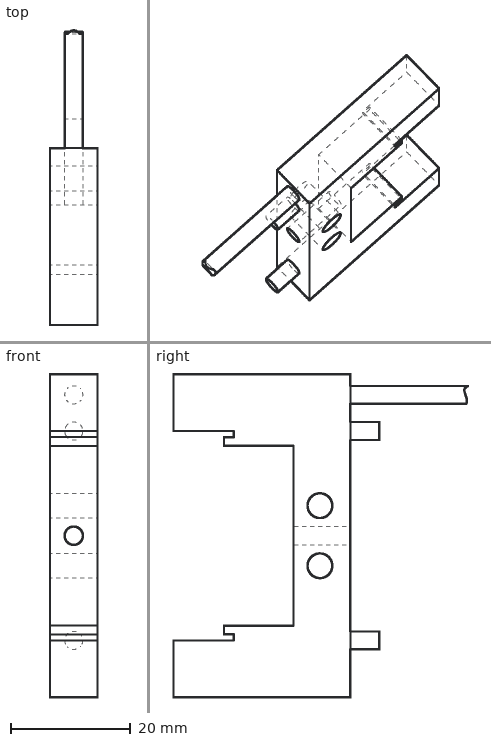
import cadquery as cq

width = 8.0
height = 54.0
depth = 29.6
web_thickness = 9.5
arm_thickness = 9.5

groove_height = 1.0
lip_thickness = 1.45
lip_setback = 8.5
groove_depth = 1.6

mount_diameter = 4.1
mount_spacing = 10.05
mount_from_rear = 5.1
web_hole_diameter = 3.0

pin_diameter = 3.0
pin_length = 4.85
pin_spacing = 35.0
cable_diameter = 3.0
cable_length = 19.7
cable_below_top = 3.45

hollow_shortfall = 0.65
bulge_shortfall = 0.2
bottom_shortfall = 0.4

front_y = -depth
lip_tip_y = front_y + lip_setback
groove_floor_y = lip_tip_y + groove_depth
arm_inner_z = height / 2 - arm_thickness
lip_outer_z = arm_inner_z - groove_height
lip_inner_z = lip_outer_z - lip_thickness


def make_body():
    """C-shaped fork, mirrored about the middle plane Z = 0."""
    upper_half = [
        (0, 0),
        (0, height / 2),
        (front_y, height / 2),
        (front_y, arm_inner_z),
        (groove_floor_y, arm_inner_z),
        (groove_floor_y, lip_outer_z),
        (lip_tip_y, lip_outer_z),
        (lip_tip_y, lip_inner_z),
        (-web_thickness, lip_inner_z),
        (-web_thickness, 0),
    ]
    upper = cq.Workplane("YZ").polyline(upper_half).close().extrude(width / 2, both=True)
    return upper.union(upper.mirror("XY"))


def rear_rod(diameter, length, z):
    """Round rod joined to the web, standing out from the rear face at height z."""
    root = web_thickness / 4
    return (
        cq.Workplane("XZ", origin=(0, -root, z))
        .circle(diameter / 2)
        .extrude(-(root + length))
    )


def make_cable():
    """Cable stub with a wavy broken end."""
    radius = cable_diameter / 2
    center_z = height / 2 - cable_below_top
    beyond_y = cable_length + cable_diameter
    waste = (
        cq.Workplane("YZ", origin=(0, 0, center_z))
        .moveTo(cable_length, radius)
        .spline(
            [
                (cable_length - hollow_shortfall, radius / 2),
                (cable_length - bulge_shortfall, -radius / 2),
                (cable_length - bottom_shortfall, -radius),
            ],
            includeCurrent=True,
        )
        .lineTo(beyond_y, -radius)
        .lineTo(beyond_y, radius)
        .close()
        .extrude(cable_diameter, both=True)
    )
    return rear_rod(cable_diameter, cable_length, center_z).cut(waste)


result = make_body().union(make_cable())

for side in (-1, 1):
    result = result.union(rear_rod(pin_diameter, pin_length, side * pin_spacing / 2))

mount_holes = (
    cq.Workplane("YZ")
    .pushPoints([(-mount_from_rear, side * mount_spacing / 2) for side in (-1, 1)])
    .circle(mount_diameter / 2)
    .extrude(width, both=True)
)

web_hole = cq.Workplane("XZ").circle(web_hole_diameter / 2).extrude(depth)

result = result.cut(mount_holes).cut(web_hole)